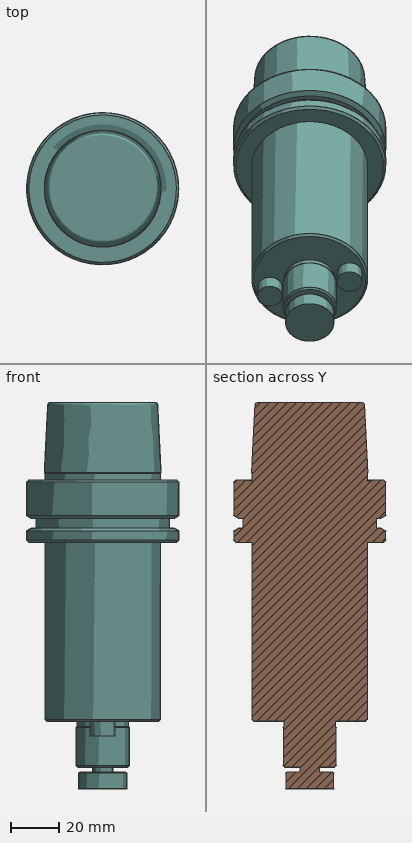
import cadquery as cq


SHANK_LENGTH = 32.0
SHANK_TOP_DIAMETER = 45.5
SHANK_BASE_DIAMETER = 48.4
SHANK_BASE_HEIGHT = 3.0
SHANK_TOP_FILLET = 1.2
RELIEF_DIAMETER = 48.0
RELIEF_SHOULDER = 0.4

FLANGE_DIAMETER = 63.0
FLANGE_THICKNESS = 26.0
FLANGE_CHAMFER = 1.0
FACE_RECESS_DIAMETER = 53.0
FACE_RECESS_DEPTH = 0.4
GROOVE_DIAMETER = 55.4
GROOVE_CENTRE_DEPTH = 18.0
GROOVE_FLOOR_WIDTH = 3.9
GROOVE_BEVEL_HEIGHT = 1.2
GROOVE_BEVEL_WIDTH = 2.0

BODY_DIAMETER = 48.0
BODY_END_DEPTH = 100.0
BODY_CHAMFER = 0.9

PILOT_DIAMETER = 22.0
PILOT_LENGTH = 19.0
PILOT_CHAMFER = 0.7
PILOT_UNDERCUT_DIAMETER = 21.4
PILOT_UNDERCUT_LENGTH = 2.4

SCREW_NECK_DIAMETER = 8.4
SCREW_HEAD_DIAMETER = 20.0
SCREW_HEAD_HEIGHT = 7.0
SCREW_HEAD_CHAMFER = 0.5
OVERALL_LENGTH = 159.9

PIN_DIAMETER = 10.35
PIN_PROJECTION = 6.0
PIN_OFFSET = 16.95
PIN_EMBED = 1.0


def revolve_profile(points):
    """Revolve (radius, height) points, closed along the Z axis."""
    return cq.Workplane("XZ").polyline(points).close().revolve(360, (0, 0), (0, 1))


def make_shank():
    top_radius = SHANK_TOP_DIAMETER / 2
    relief_radius = RELIEF_DIAMETER / 2
    shank = revolve_profile([
        (0, -FACE_RECESS_DEPTH),
        (relief_radius, -FACE_RECESS_DEPTH),
        (relief_radius, SHANK_BASE_HEIGHT - RELIEF_SHOULDER),
        (SHANK_BASE_DIAMETER / 2, SHANK_BASE_HEIGHT),
        (top_radius, SHANK_LENGTH),
        (0, SHANK_LENGTH),
    ])
    return shank.faces(">Z").edges().fillet(SHANK_TOP_FILLET)


def make_flange():
    radius = FLANGE_DIAMETER / 2
    groove_radius = GROOVE_DIAMETER / 2
    bevel_radius = radius - GROOVE_BEVEL_WIDTH
    floor_top = -GROOVE_CENTRE_DEPTH + GROOVE_FLOOR_WIDTH / 2
    floor_bottom = -GROOVE_CENTRE_DEPTH - GROOVE_FLOOR_WIDTH / 2
    return revolve_profile([
        (0, -FACE_RECESS_DEPTH),
        (RELIEF_DIAMETER / 2, -FACE_RECESS_DEPTH),
        (FACE_RECESS_DIAMETER / 2, 0),
        (radius - FLANGE_CHAMFER, 0),
        (radius, -FLANGE_CHAMFER),
        (radius, floor_top + GROOVE_BEVEL_HEIGHT),
        (bevel_radius, floor_top),
        (groove_radius, floor_top),
        (groove_radius, floor_bottom),
        (bevel_radius, floor_bottom),
        (radius, floor_bottom - GROOVE_BEVEL_HEIGHT),
        (radius, -FLANGE_THICKNESS + FLANGE_CHAMFER),
        (radius - FLANGE_CHAMFER, -FLANGE_THICKNESS),
        (0, -FLANGE_THICKNESS),
    ])


def make_body():
    length = BODY_END_DEPTH - FLANGE_THICKNESS
    body = cq.Workplane("XY", origin=(0, 0, -BODY_END_DEPTH)).circle(BODY_DIAMETER / 2).extrude(length)
    return body.faces("<Z").chamfer(BODY_CHAMFER)


def make_pilot():
    radius = PILOT_DIAMETER / 2
    undercut_radius = PILOT_UNDERCUT_DIAMETER / 2
    undercut_end = -BODY_END_DEPTH - PILOT_UNDERCUT_LENGTH
    pilot_end = -BODY_END_DEPTH - PILOT_LENGTH
    undercut_step = radius - undercut_radius
    return revolve_profile([
        (0, -BODY_END_DEPTH),
        (undercut_radius, -BODY_END_DEPTH),
        (undercut_radius, undercut_end + undercut_step),
        (radius, undercut_end),
        (radius, pilot_end + PILOT_CHAMFER),
        (radius - PILOT_CHAMFER, pilot_end),
        (0, pilot_end),
    ])


def make_screw():
    screw_end = SHANK_LENGTH - OVERALL_LENGTH
    neck_length = -BODY_END_DEPTH - PILOT_LENGTH - screw_end
    base = cq.Workplane("XY", origin=(0, 0, screw_end))
    head = base.circle(SCREW_HEAD_DIAMETER / 2).extrude(SCREW_HEAD_HEIGHT)
    head = head.faces(">Z").chamfer(SCREW_HEAD_CHAMFER)
    neck = base.circle(SCREW_NECK_DIAMETER / 2).extrude(neck_length)
    return head.union(neck)


def make_drive_pins():
    return (
        cq.Workplane("XY", origin=(0, 0, -BODY_END_DEPTH - PIN_PROJECTION))
        .pushPoints([(0, -PIN_OFFSET), (0, PIN_OFFSET)])
        .circle(PIN_DIAMETER / 2)
        .extrude(PIN_PROJECTION + PIN_EMBED)
    )


result = make_shank()
for section in (make_flange(), make_body(), make_pilot(), make_screw(), make_drive_pins()):
    result = result.union(section)